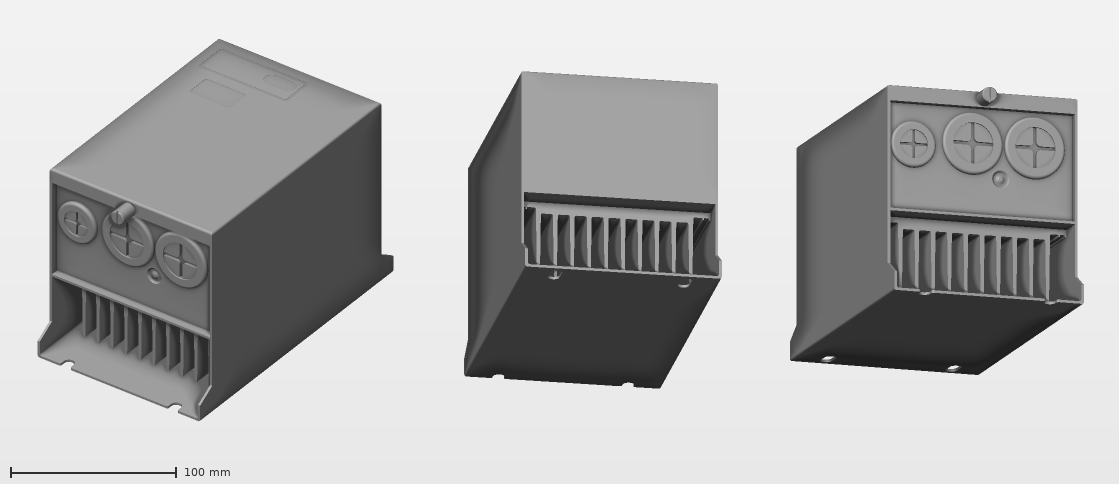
import cadquery as cq

WIDTH = 120.9
HEIGHT = 130.2
PLATE_LENGTH = 200.0
BODY_LENGTH = 175.0
SHEET = 1.6
OVERLAP = 0.5

BODY_FRONT = -BODY_LENGTH / 2
INNER_WIDTH = WIDTH - 2 * SHEET

FLANGE_HEIGHT = 11.7
SLOPE_TOP = 19.4
BEND_RADIUS = 1.5
TOP_FILLET = 1.6

SHELF_BOTTOM = 52.3
SINK_SETBACK = 16.5
SINK_LENGTH = BODY_LENGTH - 2 * SINK_SETBACK
SINK_BASE_BOTTOM = 48.8
FIN_ROOT = 45.2
FIN_TIP = 4.2
FIN_COUNT = 10
FIN_SPAN = 93.6
FIN_PITCH = FIN_SPAN / (FIN_COUNT - 1)
FIN_ROOT_WIDTH = 3.0
FIN_TIP_WIDTH = 1.8
FIN_FILLET = 1.0
STRIP_WIDTH = 0.8
STRIP_BOTTOM = 47.6
STRIP_INSET = 4.5

PANEL_BOTTOM = SHELF_BOTTOM + SHEET
PANEL_TOP = 120.5
PANEL_DEPTH = 5.5
PANEL_Y = BODY_FRONT + PANEL_DEPTH

GROMMET_HEIGHT = 2.8
GROMMET_FILLET = 1.8
POCKET_DEPTH = 1.0
CROSS_DEPTH = 2.0
LARGE_GROMMETS = [(-5.0, 98.5), (34.5, 98.5)]
LARGE_RADIUS = 19.2
LARGE_POCKET_RADIUS = 12.7
LARGE_GROOVE = 2.2
LARGE_HUB_FILLET = 2.6
SMALL_GROMMET = (-42.8, 95.2)
SMALL_RADIUS = 14.3
SMALL_POCKET_RADIUS = 8.9
SMALL_GROOVE = 1.6
SMALL_HUB_FILLET = 1.8

DISH_CENTRE = (13.3, 77.9)
DISH_RADIUS = 5.5
DISH_FLOOR_RADIUS = 4.2
DISH_DEPTH = 1.2
DOME_RADIUS = 3.0
DOME_TOP_RADIUS = 1.2
DOME_HEIGHT = 1.0

SCREW_Z = 125.3
STEM_DIAMETER = 3.8
STEM_LENGTH = 2.2
HEAD_DIAMETER = 9.5
HEAD_LENGTH = 12.1
HEAD_CHAMFER = 0.6
DRIVE_WIDTH = 1.2
DRIVE_DEPTH = 1.2

SLOT_SPACING = 79.7
SLOT_WIDTH = 7.0
SLOT_MOUTH_FILLET = 1.5
FRONT_SLOT_DEPTH = 7.3
REAR_SLOT_LENGTH = 16.1
REAR_SLOT_MARGIN = 3.5

ENGRAVE_DEPTH = 0.2
FRAME_SIZE = (66.2, 24.2)
FRAME_CENTRE = (-19.4, 66.4)
FRAME_BORDER = 2.0
FRAME_RADIUS = 2.6
OVAL_SIZE = (22.8, 10.5)
OVAL_CENTRE = (-1.6, 69.0)
LABEL_SIZE = (30.3, 17.8)
LABEL_CENTRE = (-25.6, 38.0)
LABEL_RADIUS = 1.8


def block(width, y_start, y_end, z_bottom, z_top):
    """Box centred on X between the given Y and Z limits."""
    return (
        cq.Workplane("XY")
        .box(width, y_end - y_start, z_top - z_bottom, centered=(True, False, False))
        .translate((0, y_start, z_bottom))
    )


def front_plane(y, x=0.0, z=0.0):
    """XZ workplane at a given Y whose extrusions grow toward the front."""
    return cq.Workplane("XZ", origin=(x, y, z))


def bracket():
    """U-shaped sheet whose walls flare out to the full plate length at the foot."""
    body_end = BODY_LENGTH / 2
    plate_end = PLATE_LENGTH / 2
    outline = [
        (-plate_end, 0),
        (plate_end, 0),
        (plate_end, FLANGE_HEIGHT),
        (body_end, SLOPE_TOP),
        (body_end, HEIGHT),
        (-body_end, HEIGHT),
        (-body_end, SLOPE_TOP),
        (-plate_end, FLANGE_HEIGHT),
    ]
    shell = cq.Workplane("YZ").polyline(outline).close().extrude(WIDTH / 2, both=True)
    shell = shell.edges("|Y and <Z").fillet(BEND_RADIUS)
    channel = block(INNER_WIDTH, -plate_end, plate_end, SHEET, HEIGHT)
    channel = channel.edges("|Y and <Z").fillet(BEND_RADIUS)
    return shell.cut(channel)


def housing():
    """Closed upper body with filleted top edges and a recessed front panel."""
    core = block(WIDTH, BODY_FRONT, -BODY_FRONT, SHELF_BOTTOM, HEIGHT)
    recess = block(INNER_WIDTH, BODY_FRONT, PANEL_Y, PANEL_BOTTOM, PANEL_TOP)
    return core.cut(recess)


def corner_box(half_width, z):
    """Selector for the heat sink edges within half_width of the middle at height z."""
    reach = SINK_LENGTH
    return cq.selectors.BoxSelector(
        (-half_width, -reach, z - OVERLAP), (half_width, reach, z + OVERLAP)
    )


def heat_sink():
    """Base slab with tapered fins hanging below it, rounded at the fin roots."""
    sink_end = SINK_LENGTH / 2
    base_top = SHELF_BOTTOM + OVERLAP
    fin_zone = FIN_SPAN + FIN_ROOT_WIDTH
    sink = block(INNER_WIDTH + OVERLAP, -sink_end, sink_end, SINK_BASE_BOTTOM, base_top)
    sink = sink.union(block(fin_zone, -sink_end, sink_end, FIN_ROOT, base_top))
    for index in range(FIN_COUNT):
        fin_outline = [
            (-FIN_ROOT_WIDTH / 2, FIN_ROOT),
            (-FIN_TIP_WIDTH / 2, FIN_TIP),
            (FIN_TIP_WIDTH / 2, FIN_TIP),
            (FIN_ROOT_WIDTH / 2, FIN_ROOT),
        ]
        fin = front_plane(0).polyline(fin_outline).close().extrude(sink_end, both=True)
        sink = sink.union(fin.translate((index * FIN_PITCH - FIN_SPAN / 2, 0, 0)))
    inner_roots = corner_box(FIN_SPAN / 2, FIN_ROOT)
    outer_roots = corner_box(fin_zone / 2 + OVERLAP, SINK_BASE_BOTTOM)
    sink = sink.edges("|Y").edges(inner_roots).fillet(FIN_FILLET)
    sink = sink.edges("|Y").edges(outer_roots).fillet(FIN_FILLET)

    strip_x = INNER_WIDTH / 2 - STRIP_INSET
    wall_strip_x = (INNER_WIDTH - STRIP_WIDTH) / 2
    strip = block(STRIP_WIDTH, -sink_end, sink_end, STRIP_BOTTOM, base_top)
    for x in (-wall_strip_x, -strip_x, strip_x, wall_strip_x):
        sink = sink.union(strip.translate((x, 0, 0)))
    return sink


def grommet(centre, radius):
    """Domed disc standing on the panel."""
    disc = front_plane(PANEL_Y + OVERLAP, *centre).circle(radius).extrude(GROMMET_HEIGHT + OVERLAP)
    return disc.faces("<Y").edges().fillet(GROMMET_FILLET)


def grommet_pocket(centre, pocket_radius, groove_width, hub_fillet):
    """Cutter for the round pocket of a grommet and the cross groove in its floor."""
    pocket_y = PANEL_Y - GROMMET_HEIGHT + POCKET_DEPTH
    pocket = front_plane(pocket_y, *centre).circle(pocket_radius).extrude(POCKET_DEPTH)
    floor = front_plane(pocket_y + CROSS_DEPTH, *centre)
    arm_length = 2 * pocket_radius
    cross = floor.rect(arm_length, groove_width).extrude(CROSS_DEPTH)
    cross = cross.union(floor.rect(groove_width, arm_length).extrude(CROSS_DEPTH))
    hub = cq.selectors.BoxSelector(
        (centre[0] - groove_width, pocket_y - CROSS_DEPTH, centre[1] - groove_width),
        (centre[0] + groove_width, pocket_y + CROSS_DEPTH, centre[1] + groove_width),
    )
    cross = cross.edges("|Y").edges(hub).fillet(hub_fillet)
    disc = floor.circle(pocket_radius).extrude(CROSS_DEPTH)
    return pocket.union(cross.intersect(disc))


def recess_dish():
    """Conical dish cut into the panel around the recessed screw."""
    dish = front_plane(PANEL_Y, *DISH_CENTRE).circle(DISH_RADIUS)
    return dish.workplane(offset=-DISH_DEPTH).circle(DISH_FLOOR_RADIUS).loft()


def recess_screw():
    """Low conical screw head standing on the dish floor."""
    foot_y = PANEL_Y + DISH_DEPTH + OVERLAP
    foot = front_plane(foot_y, *DISH_CENTRE).circle(DOME_RADIUS).extrude(OVERLAP)
    dome = front_plane(foot_y - OVERLAP, *DISH_CENTRE).circle(DOME_RADIUS)
    dome = dome.workplane(offset=DOME_HEIGHT).circle(DOME_TOP_RADIUS).loft()
    return foot.union(dome)


def lid_screw():
    """Slotted cylindrical screw standing out of the lid's front lip."""
    head_y = BODY_FRONT - STEM_LENGTH
    stem = front_plane(BODY_FRONT + OVERLAP, 0, SCREW_Z).circle(STEM_DIAMETER / 2)
    stem = stem.extrude(STEM_LENGTH + 2 * OVERLAP)
    head = front_plane(head_y, 0, SCREW_Z).circle(HEAD_DIAMETER / 2).extrude(HEAD_LENGTH)
    head = head.faces("<Y").edges().chamfer(HEAD_CHAMFER)
    drive = front_plane(head_y - HEAD_LENGTH + DRIVE_DEPTH, 0, SCREW_Z)
    drive = drive.rect(DRIVE_WIDTH, HEAD_DIAMETER).extrude(DRIVE_DEPTH)
    return stem.union(head.cut(drive))


def mounting_slots():
    """Cutters for the open front slots with flared mouths and the closed rear slots."""
    radius = SLOT_WIDTH / 2
    flare = SLOT_MOUTH_FILLET
    front_edge = -PLATE_LENGTH / 2
    arc_y = front_edge + FRONT_SLOT_DEPTH - radius
    front_slot = (
        cq.Workplane("XY")
        .moveTo(-radius - flare, front_edge)
        .radiusArc((-radius, front_edge + flare), -flare)
        .lineTo(-radius, arc_y)
        .threePointArc((0, arc_y + radius), (radius, arc_y))
        .lineTo(radius, front_edge + flare)
        .radiusArc((radius + flare, front_edge), -flare)
        .close()
        .extrude(SHEET)
    )
    rear_centre = PLATE_LENGTH / 2 - REAR_SLOT_MARGIN - REAR_SLOT_LENGTH / 2
    rear_slot = cq.Workplane("XY").center(0, rear_centre).slot2D(REAR_SLOT_LENGTH, SLOT_WIDTH, 90)
    pair = front_slot.union(rear_slot.extrude(SHEET))
    left = pair.translate((-SLOT_SPACING / 2, 0, 0))
    right = pair.translate((SLOT_SPACING / 2, 0, 0))
    return left.union(right)


def lid_engraving():
    """Cutters for the display frame, the oval key and the label field."""
    floor = cq.Workplane("XY", origin=(0, 0, HEIGHT - ENGRAVE_DEPTH))
    frame = floor.center(*FRAME_CENTRE).rect(*FRAME_SIZE).extrude(ENGRAVE_DEPTH)
    frame = frame.edges("|Z").fillet(FRAME_RADIUS)
    window = floor.center(*FRAME_CENTRE)
    window = window.rect(FRAME_SIZE[0] - 2 * FRAME_BORDER, FRAME_SIZE[1] - 2 * FRAME_BORDER)
    frame = frame.cut(window.extrude(ENGRAVE_DEPTH))
    oval = floor.center(*OVAL_CENTRE).slot2D(*OVAL_SIZE).extrude(ENGRAVE_DEPTH)
    label = floor.center(*LABEL_CENTRE).rect(*LABEL_SIZE).extrude(ENGRAVE_DEPTH)
    label = label.edges("|Z").fillet(LABEL_RADIUS)
    return [frame, oval, label]


result = bracket().union(housing())
result = result.faces(">Z").edges().fillet(TOP_FILLET)
result = result.union(heat_sink())
result = result.cut(mounting_slots())
for engraving in lid_engraving():
    result = result.cut(engraving)
result = result.cut(recess_dish()).union(recess_screw())
for centre in LARGE_GROMMETS:
    result = result.union(grommet(centre, LARGE_RADIUS))
    result = result.cut(grommet_pocket(centre, LARGE_POCKET_RADIUS, LARGE_GROOVE, LARGE_HUB_FILLET))
result = result.union(grommet(SMALL_GROMMET, SMALL_RADIUS))
result = result.cut(grommet_pocket(SMALL_GROMMET, SMALL_POCKET_RADIUS, SMALL_GROOVE, SMALL_HUB_FILLET))
result = result.union(lid_screw())